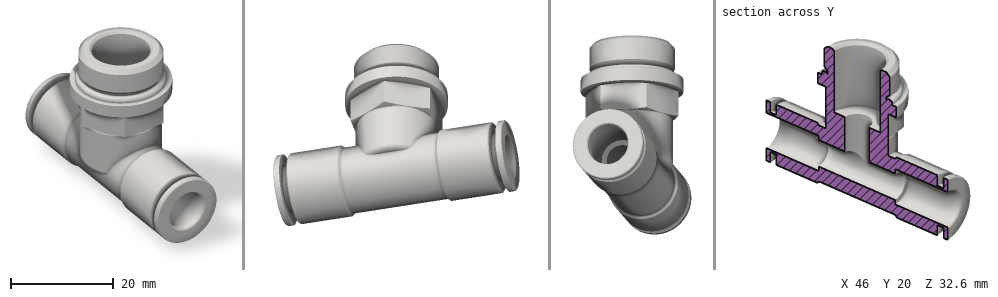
import cadquery as cq
import math

run_length = 46
run_diameter = 13.0
sleeve_diameter = 14.0
sleeve_inner_x = 9.55
sleeve_outer_x = 20.4
sleeve_inner_chamfer = (sleeve_diameter - run_diameter) / 2
edge_break = 0.2
collar_thickness = 1.2
collar_neck_diameter = 9.2
passage_diameter = 6
socket_diameter = 8.0
socket_depth = 13.35
socket_chamfer = 0.25

hex_across_flats = 16.0
stem_diameter = hex_across_flats
stem_shoulder_z = 10.4
stem_shoulder_chamfer = 0.15
stem_bottom_z = 0.55
stem_bottom_fillet = 1.0
hex_end_diameter = 15.8
hex_bottom_z = 10.55
hex_chamfer_angle = 12
flange_diameter = 20.0
flange_bottom_z = 15.95
flange_thickness = 2.58
seal_diameter = 17.95
seal_section_radius = 0.85
seal_center_offset = 0.2
thread_diameter = 16.65
thread_relief_diameter = 14.95
thread_relief_top_z = 19.75
thread_chamfer = (thread_diameter - thread_relief_diameter) / 2
thread_top_z = 25.55
bore_diameter = 11.5
bore_floor_z = 11.05
bore_chamfer = 0.45


def cylinder_x(diameter, start_x, end_x):
    return cq.Workplane("YZ", origin=(start_x, 0, 0)).circle(diameter / 2).extrude(end_x - start_x)


def cylinder_z(diameter, bottom_z, top_z):
    return cq.Workplane("XY", origin=(0, 0, bottom_z)).circle(diameter / 2).extrude(top_z - bottom_z)


def bore_mouth(plane, center, diameter, chamfer):
    """Conical lead-in that widens a bore by the chamfer at its open end."""
    return (
        cq.Workplane(plane, origin=center)
        .circle(diameter / 2 + chamfer)
        .workplane(offset=-chamfer)
        .circle(diameter / 2)
        .loft()
    )


def make_socket_end():
    """Outer shape of the +X socket: sleeve, release-collar neck and collar."""
    end_x = run_length / 2
    sleeve = cylinder_x(sleeve_diameter, sleeve_inner_x, sleeve_outer_x)
    sleeve = sleeve.faces("<X").chamfer(sleeve_inner_chamfer).faces(">X").chamfer(edge_break)
    neck = cylinder_x(collar_neck_diameter, sleeve_outer_x, end_x)
    collar = cylinder_x(sleeve_diameter, end_x - collar_thickness, end_x).faces(">X").chamfer(edge_break)
    return sleeve.union(neck).union(collar)


def make_socket_bore():
    """Tube seat of the +X socket with a chamfered mouth."""
    end_x = run_length / 2
    seat = cylinder_x(socket_diameter, end_x - socket_depth, end_x)
    mouth = bore_mouth("YZ", (end_x, 0, 0), socket_diameter, socket_chamfer)
    return seat.union(mouth)


def make_hexagon():
    """Wrench hexagon with corners on Y, turned down at both ends."""
    corner_radius = hex_across_flats / 2 / math.cos(math.pi / 6)
    chamfer_inner_radius = hex_end_diameter / 2
    chamfer_height = (corner_radius - chamfer_inner_radius) * math.tan(math.radians(hex_chamfer_angle))
    prism = (
        cq.Workplane("XY", origin=(0, 0, hex_bottom_z))
        .polygon(6, 2 * corner_radius)
        .extrude(flange_bottom_z - hex_bottom_z)
        .rotate((0, 0, 0), (0, 0, 1), 30)
    )
    envelope = (
        cq.Workplane("XZ")
        .moveTo(0, hex_bottom_z)
        .lineTo(chamfer_inner_radius, hex_bottom_z)
        .lineTo(corner_radius, hex_bottom_z + chamfer_height)
        .lineTo(corner_radius, flange_bottom_z - chamfer_height)
        .lineTo(chamfer_inner_radius, flange_bottom_z)
        .lineTo(0, flange_bottom_z)
        .close()
        .revolve(360, (0, 0, 0), (0, 1, 0))
    )
    return prism.intersect(envelope)


def make_seal_ring(center_z):
    """O-ring partly sunk into the top of the flange."""
    ring_radius = seal_diameter / 2 - seal_section_radius
    ring = cq.Solid.makeTorus(ring_radius, seal_section_radius, cq.Vector(0, 0, center_z), cq.Vector(0, 0, 1))
    return cq.Workplane(obj=ring)


def make_stem():
    flange_top_z = flange_bottom_z + flange_thickness
    trunk = cylinder_z(stem_diameter, stem_bottom_z, stem_shoulder_z)
    trunk = trunk.faces(">Z").chamfer(stem_shoulder_chamfer).faces("<Z").edges().fillet(stem_bottom_fillet)
    core = cylinder_z(hex_end_diameter, stem_shoulder_z - stem_shoulder_chamfer, flange_bottom_z)
    flange = cylinder_z(flange_diameter, flange_bottom_z, flange_top_z)
    seal = make_seal_ring(flange_top_z + seal_center_offset)
    relief = cylinder_z(thread_relief_diameter, flange_top_z, thread_top_z)
    thread = cylinder_z(thread_diameter, thread_relief_top_z, thread_top_z)
    thread = thread.faces("<Z or >Z").chamfer(thread_chamfer)
    stem = trunk.union(core).union(make_hexagon()).union(flange)
    return stem.union(relief).union(seal).union(thread)


def make_stem_bore():
    bore = cylinder_z(bore_diameter, bore_floor_z, thread_top_z)
    mouth = bore_mouth("XY", (0, 0, thread_top_z), bore_diameter, bore_chamfer)
    return bore.union(mouth).union(cylinder_z(passage_diameter, 0, bore_floor_z))


socket_end = make_socket_end()
socket_bore = make_socket_bore()
body = cylinder_x(run_diameter, -sleeve_outer_x, sleeve_outer_x).union(make_stem())
body = body.union(socket_end).union(socket_end.mirror("YZ"))
body = body.cut(cylinder_x(passage_diameter, -run_length / 2, run_length / 2))
body = body.cut(socket_bore).cut(socket_bore.mirror("YZ"))
result = body.cut(make_stem_bore())